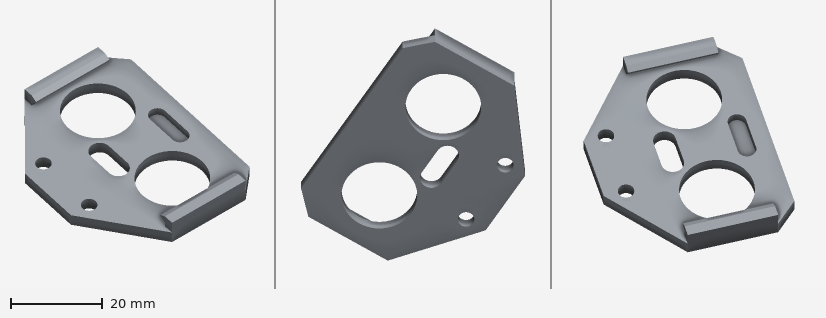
import cadquery as cq

width = 51.5
depth = 39.5
total_height = 6.0
plate_thickness = 3.0
front_edge_width = 15.95
front_taper_depth = 13.95
rear_chamfer = 5.1

rail_thickness = 2.5
lip_reach = 1.45
lip_tip_top_drop = 0.75
lip_tip_bottom_drop = 1.3
lip_root_drop = 2.0

large_diameter = 16.5
large_spacing = 26.0
small_diameter = 3.6
small_y = 5.05
through_slot_length = 11.5
through_slot_width = 5.0
through_slot_y = 16.95
blind_slot_length = 12.0
blind_slot_width = 4.1
blind_slot_y = 33.55
blind_slot_depth = 2.0

half_width = width / 2
rail_front = front_taper_depth
rail_back = depth - rear_chamfer
large_y = (rail_front + rail_back) / 2


def make_plate():
    right_edge = [
        (front_edge_width / 2, 0),
        (half_width, rail_front),
        (half_width, rail_back),
        (half_width - rear_chamfer, depth),
    ]
    left_edge = [(-x, y) for x, y in reversed(right_edge)]
    return cq.Workplane("XY").polyline(right_edge + left_edge).close().extrude(plate_thickness)


def make_rail(side):
    """Rail on the +X (side = 1) or -X (side = -1) edge."""
    inner_face = half_width - rail_thickness
    lip_tip = inner_face - lip_reach
    profile = [
        (half_width, 0),
        (half_width, total_height),
        (inner_face, total_height),
        (lip_tip, total_height - lip_tip_top_drop),
        (lip_tip, total_height - lip_tip_bottom_drop),
        (inner_face, total_height - lip_root_drop),
        (inner_face, 0),
    ]
    return (
        cq.Workplane("XZ", origin=(0, rail_front, 0))
        .polyline([(side * x, z) for x, z in profile])
        .close()
        .extrude(rail_front - rail_back)
    )


def cut_hole_pair(body, diameter, spacing, y):
    centers = [(-spacing / 2, y), (spacing / 2, y)]
    holes = cq.Workplane("XY").pushPoints(centers).circle(diameter / 2).extrude(plate_thickness)
    return body.cut(holes)


def cut_slot(body, length, slot_width, y, slot_depth):
    slot = (
        cq.Workplane("XY", origin=(0, y, plate_thickness))
        .slot2D(length, slot_width)
        .extrude(-slot_depth)
    )
    return body.cut(slot)


result = make_plate()
for side in (-1, 1):
    result = result.union(make_rail(side))
result = cut_hole_pair(result, large_diameter, large_spacing, large_y)
result = cut_hole_pair(result, small_diameter, front_edge_width, small_y)
result = cut_slot(result, through_slot_length, through_slot_width, through_slot_y, plate_thickness)
result = cut_slot(result, blind_slot_length, blind_slot_width, blind_slot_y, blind_slot_depth)